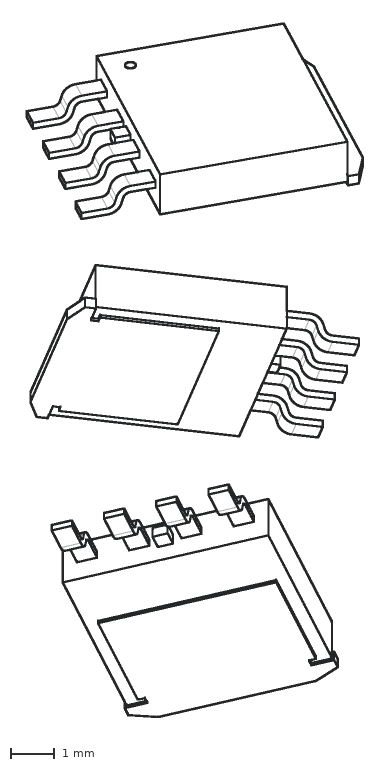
import cadquery as cq
import math

total_length = 6.81
total_height = 1.2

body_width = 4.985
body_front = 1.78
body_back = 6.265
body_bottom = 0.07
body_height = 1.12
body_top = body_bottom + body_height

tab_width = 5.08
tab_thickness = 0.26
tab_front = 3.295
pad_width = 4.32
pad_back = 6.09
neck_width = 3.98
rear_edge_width = 3.83
rear_bevel_start = 6.525

lead_count = 4
lead_pitch = 1.27
lead_width = 0.49
lead_thickness = 0.17
lead_top = 0.755
foot_length = 0.625
bend_start = 1.17
bend_inner_radius = 0.18
bend_outer_radius = bend_inner_radius + lead_thickness
bend_angle = math.radians(74)
first_lead_x = -lead_pitch * (lead_count - 1) / 2

stub_width = 0.37
stub_length = 0.375
stub_height = 0.27

marker_diameter = 0.25
marker_y = 2.41
marker_height = total_height - body_top


def make_block(width, front, back, bottom, height):
    """Box centred on X = 0, given by its Y range, underside and height."""
    return cq.Workplane("XY").box(width, back - front, height, centered=(True, False, False)).translate(
        (0, front, bottom)
    )


def make_tab():
    """Plate with a narrow front pad, a notch behind it on each side, and a bevelled rear edge."""
    right_side = [
        (pad_width / 2, tab_front),
        (pad_width / 2, pad_back),
        (neck_width / 2, pad_back),
        (neck_width / 2, body_back),
        (tab_width / 2, body_back),
        (tab_width / 2, rear_bevel_start),
        (rear_edge_width / 2, total_length),
    ]
    left_side = [(-x, y) for x, y in reversed(right_side)]
    return cq.Workplane("XY").polyline(right_side + left_side).close().extrude(tab_thickness)


def make_body(tab):
    """Rectangular moulding with a recess in its underside that fits the tab."""
    return make_block(body_width, body_front, body_back, body_bottom, body_height).cut(tab)


def make_lead(x):
    """Gull-wing lead: level shank, steep sloping web and level foot."""
    foot_top = body_bottom + lead_thickness
    upper_centre = (bend_start, lead_top - bend_outer_radius)
    lower_centre = (foot_length, foot_top + bend_inner_radius)

    def upper_point(radius, angle):
        return (
            upper_centre[0] - radius * math.sin(angle),
            upper_centre[1] + radius * math.cos(angle),
        )

    def lower_point(radius, angle):
        return (
            lower_centre[0] + radius * math.sin(angle),
            lower_centre[1] - radius * math.cos(angle),
        )

    half_angle = bend_angle / 2
    profile = (
        cq.Workplane("YZ")
        .moveTo(body_front, lead_top)
        .lineTo(*upper_point(bend_outer_radius, 0))
        .threePointArc(upper_point(bend_outer_radius, half_angle), upper_point(bend_outer_radius, bend_angle))
        .lineTo(*lower_point(bend_inner_radius, bend_angle))
        .threePointArc(lower_point(bend_inner_radius, half_angle), lower_point(bend_inner_radius, 0))
        .lineTo(0, foot_top)
        .lineTo(0, body_bottom)
        .lineTo(*lower_point(bend_outer_radius, 0))
        .threePointArc(lower_point(bend_outer_radius, half_angle), lower_point(bend_outer_radius, bend_angle))
        .lineTo(*upper_point(bend_inner_radius, bend_angle))
        .threePointArc(upper_point(bend_inner_radius, half_angle), upper_point(bend_inner_radius, 0))
        .lineTo(body_front, lead_top - lead_thickness)
        .close()
    )
    return profile.extrude(lead_width / 2, both=True).translate((x, 0, 0))


def make_stub():
    """Short centre lead, level with the tops of the bent leads."""
    return make_block(stub_width, body_front - stub_length, body_front, lead_top - stub_height, stub_height)


def make_marker():
    """Thin disc on the body top, in line with the first lead."""
    return (
        cq.Workplane("XY", origin=(first_lead_x, marker_y, body_top))
        .circle(marker_diameter / 2)
        .extrude(marker_height)
    )


tab = make_tab()
body = make_body(tab)
leads = [make_lead(first_lead_x + index * lead_pitch) for index in range(lead_count)]
stub = make_stub()
marker = make_marker()

result = cq.Compound.makeCompound(
    [body.val(), tab.val(), *[lead.val() for lead in leads], stub.val(), marker.val()]
)